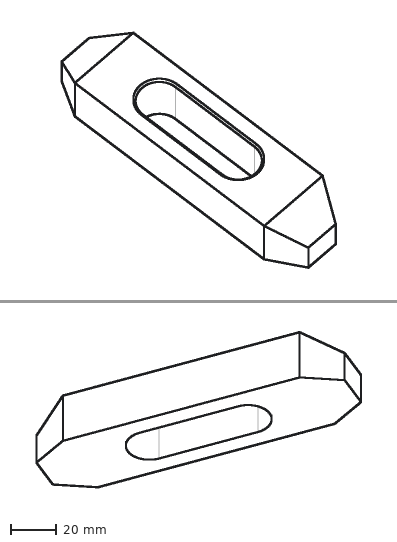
import cadquery as cq
import math

length = 150.0
width = 38.0
height = 25.0

taper_angle = math.radians(30)
taper_length = 17.4
taper_inset = taper_length * math.tan(taper_angle)

slot_length = 69.0
slot_width = 21.0
rim_chamfer = 1.0


def tapered_outline():
    """Plan outline that narrows towards both end faces."""
    shoulder = length / 2 - taper_length
    half_width = width / 2
    tip = half_width - taper_inset
    return [
        (-length / 2, -tip),
        (-shoulder, -half_width),
        (shoulder, -half_width),
        (length / 2, -tip),
        (length / 2, tip),
        (shoulder, half_width),
        (-shoulder, half_width),
        (-length / 2, tip),
    ]


def make_bar():
    """Bar with tapered sides, trimmed by the sloping top profile."""
    plan = cq.Workplane("XY").polyline(tapered_outline()).close().extrude(height)
    shoulder = length / 2 - taper_length
    profile = [
        (-length / 2, 0),
        (length / 2, 0),
        (length / 2, height - taper_inset),
        (shoulder, height),
        (-shoulder, height),
        (-length / 2, height - taper_inset),
    ]
    side = cq.Workplane("XZ").polyline(profile).close().extrude(width / 2, both=True)
    return plan.intersect(side)


def make_slot():
    """Through slot, flared at the top to form the rim chamfer."""
    slot = cq.Workplane("XY").slot2D(slot_length, slot_width).extrude(height)
    flare = (
        cq.Workplane("XY")
        .workplane(offset=height)
        .slot2D(slot_length + 2 * rim_chamfer, slot_width + 2 * rim_chamfer)
        .extrude(-rim_chamfer, taper=45)
    )
    return slot.union(flare)


result = make_bar().cut(make_slot())